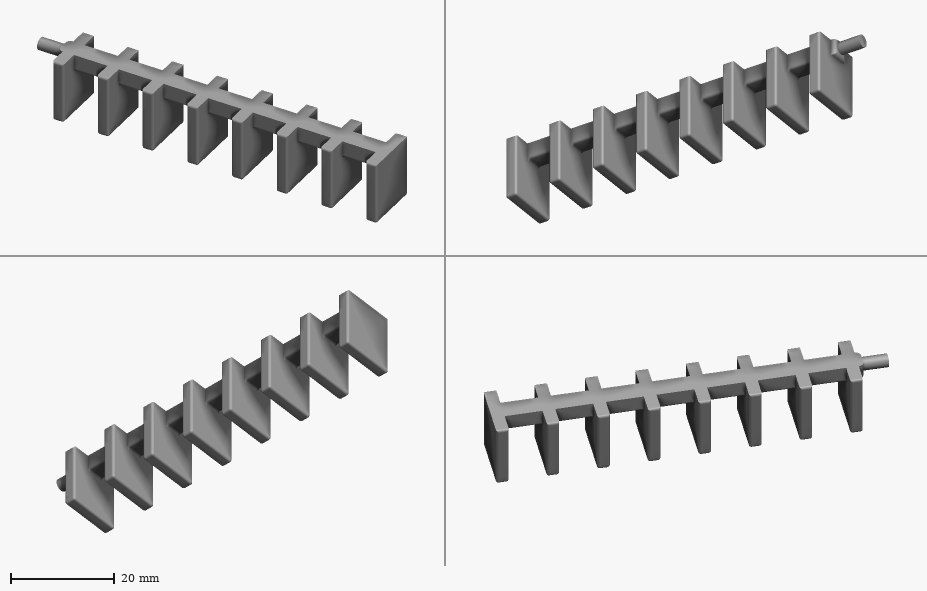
import cadquery as cq
import math

length = 78.65
fin_width = 12.0
fin_height = 13.5

fin_count = 8
first_fin_x = 6.1
fin_thickness = 2.5
half_thickness = fin_thickness / 2
fin_pitch = (length - fin_thickness - first_fin_x) / (fin_count - 1)

edge_radius = 0.5

rail_width = 4.0
rail_height = 3.5
nose_x = 5.0
nose_radius = 1.0

pin_diameter = 2.7
pin_radius = pin_diameter / 2


def block(x_start, x_size, y_size, z_size):
    """Box centred on Y that hangs below the top plane Z = 0."""
    box = cq.Workplane("XY").box(x_size, y_size, z_size, centered=(False, True, False))
    return box.translate((x_start, 0, -z_size))


def make_fin(x_start):
    """Plate rounded on its sides and bottom; the long top edges stay sharp."""
    fin = block(x_start, fin_thickness, fin_width, fin_height)
    return fin.faces("<Y or >Y or <Z").edges().fillet(edge_radius)


def make_nose():
    """Front end of the rail: rounded at the front, blended into the first fin below."""
    rounding_x = nose_x + nose_radius
    rounding_z = nose_radius - rail_height
    center_distance = nose_radius + edge_radius
    blend_x = first_fin_x - edge_radius
    blend_z = rounding_z - math.sqrt(center_distance**2 - (rounding_x - blend_x) ** 2)
    touch_ratio = nose_radius / center_distance
    touch_x = rounding_x + (blend_x - rounding_x) * touch_ratio
    touch_z = rounding_z + (blend_z - rounding_z) * touch_ratio

    fin_middle_x = first_fin_x + half_thickness
    side_shape = (
        cq.Workplane("XZ")
        .moveTo(nose_x, 0)
        .lineTo(nose_x, rounding_z)
        .radiusArc((touch_x, touch_z), -nose_radius)
        .radiusArc((first_fin_x, blend_z), edge_radius)
        .lineTo(fin_middle_x, blend_z)
        .lineTo(fin_middle_x, 0)
        .close()
        .extrude(rail_width / 2, both=True)
    )
    top_shape = block(nose_x, fin_middle_x - nose_x, rail_width, fin_height)
    top_shape = top_shape.edges("|Z and <X").fillet(nose_radius)
    return side_shape.intersect(top_shape)


def make_bridge(x_start):
    """Rail stretch from the middle of the fin at x_start to the middle of the next.

    Its legs stay inside the fins; the opening between them has rounded inner
    corners, and its edges are rounded on both sides of the rail.
    """
    bridge_x = x_start + half_thickness
    leg_depth = fin_height / 2
    opening = block(x_start + fin_thickness, fin_pitch - fin_thickness, rail_width, leg_depth)
    opening = opening.translate((0, 0, -rail_height))
    opening = opening.edges("|Y and >Z").fillet(edge_radius)
    bridge = block(bridge_x, fin_pitch, rail_width, leg_depth).cut(opening)

    around_opening = cq.selectors.BoxSelector(
        (bridge_x + edge_radius, -rail_width, edge_radius - leg_depth),
        (bridge_x + fin_pitch - edge_radius, rail_width, -edge_radius),
    )
    return bridge.faces("<Y or >Y").edges(around_opening).fillet(edge_radius)


def make_pin():
    """Pin reaching from the front end of the part into the first fin."""
    pin_length = first_fin_x + half_thickness
    return cq.Workplane("YZ").center(0, -pin_radius).circle(pin_radius).extrude(pin_length)


result = make_nose().union(make_pin())
for index in range(fin_count):
    fin_x = first_fin_x + index * fin_pitch
    result = result.union(make_fin(fin_x))
    if index < fin_count - 1:
        result = result.union(make_bridge(fin_x))